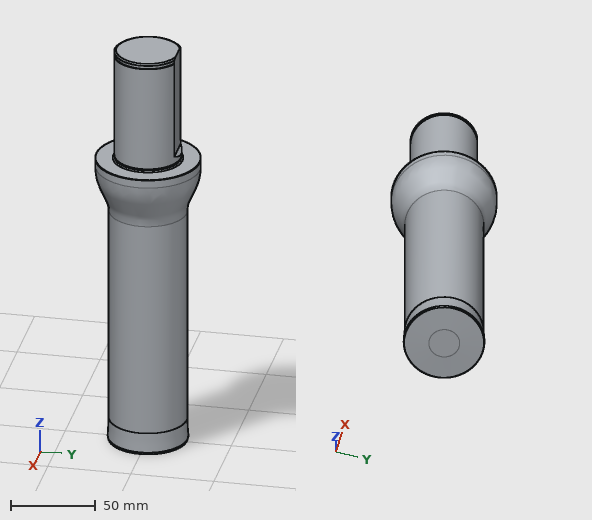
import cadquery as cq

total_length = 253.0

head_length = 14.0
head_radius = 47.8 / 2
head_edge_height = 1.8
head_edge_inset = 0.4
tip_rise = 0.4
tip_radius = 9.1

body_radius = 46.6 / 2
flange_radius = 62.5 / 2
flange_thickness = 5.0
blend_height = 29.0
blend_middle_radius = 25.95
blend_middle_height = 9.6

shank_length = 70.0
shank_radius = 39.99 / 2
relief_radius = 39.5 / 2
top_chamfer_height = 0.9
top_chamfer_inset = 1.2
top_groove_width = 2.2
neck_height = 1.6
step_chamfer = shank_radius - relief_radius
neck_root_radius = 41.6 / 2
neck_root_height = 0.7
flange_edge_chamfer = 0.3

flat_distance = 17.75
flat_start_height = 6.5

flange_top = total_length - shank_length
flange_bottom = flange_top - flange_thickness
blend_bottom = flange_bottom - blend_height
blend_middle = (blend_middle_radius, blend_bottom + blend_middle_height)


def make_cutting_head():
    """Head that flares slightly down to a chamfered edge and a blunt conical tip."""
    profile = (
        cq.Workplane("XZ")
        .moveTo(0, 0)
        .lineTo(tip_radius, 0)
        .lineTo(head_radius - head_edge_inset, tip_rise)
        .lineTo(head_radius, head_edge_height)
        .lineTo(body_radius, head_length)
        .lineTo(0, head_length)
        .close()
    )
    return profile.revolve(360, (0, 0), (0, 1))


def make_flat_cutter():
    """Material removed above the clamping flat, with a 45 degree run-out at its lower end."""
    flat_bottom = flange_top + flat_start_height
    cutter_depth = 2 * (shank_radius - flat_distance)
    outer_y = flat_distance + cutter_depth
    profile = cq.Workplane("YZ").polyline([
        (flat_distance, flat_bottom),
        (outer_y, flat_bottom - cutter_depth),
        (outer_y, total_length),
        (flat_distance, total_length),
    ]).close()
    return profile.extrude(shank_radius, both=True)


def make_holder():
    """Drill body, flange and shank in one turned solid, with the clamping flat cut away."""
    upward = (0, 1)
    neck_top = flange_top + neck_height
    groove_top = total_length - top_chamfer_height
    groove_bottom = groove_top - top_groove_width
    profile = (
        cq.Workplane("XZ")
        .moveTo(0, head_length)
        .lineTo(body_radius, head_length)
        .lineTo(body_radius, blend_bottom)
        .spline(
            [blend_middle, (flange_radius, flange_bottom)],
            tangents=[upward, upward],
            includeCurrent=True,
        )
        .lineTo(flange_radius, flange_top - flange_edge_chamfer)
        .lineTo(flange_radius - flange_edge_chamfer, flange_top)
        .lineTo(neck_root_radius, flange_top)
        .lineTo(relief_radius, flange_top + neck_root_height)
        .lineTo(relief_radius, neck_top)
        .lineTo(shank_radius, neck_top + step_chamfer)
        .lineTo(shank_radius, groove_bottom)
        .lineTo(relief_radius, groove_bottom + step_chamfer)
        .lineTo(relief_radius, groove_top)
        .lineTo(shank_radius, groove_top)
        .lineTo(shank_radius - top_chamfer_inset, total_length)
        .lineTo(0, total_length)
        .close()
    )
    return profile.revolve(360, (0, 0), (0, 1)).cut(make_flat_cutter())


cutting_head = make_cutting_head()
holder = make_holder()
result = cq.Compound.makeCompound([cutting_head.val(), holder.val()])